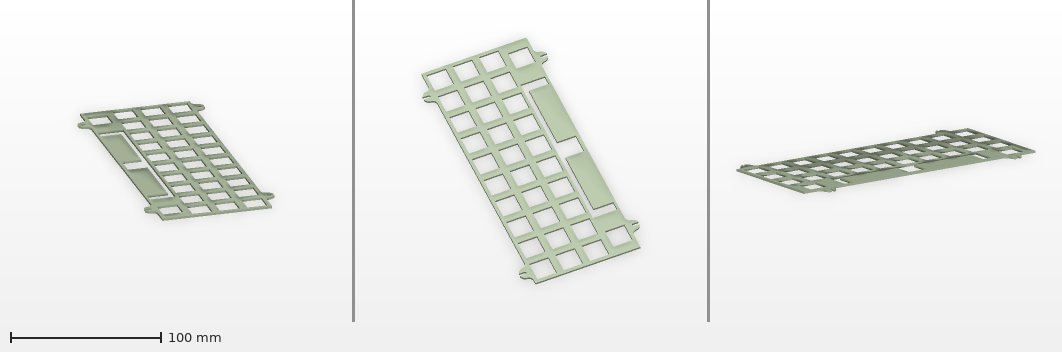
import cadquery as cq
import math

KEY_PITCH = 19.05
COLUMNS = 10
ROWS = 4
THICKNESS = 1.5
PLATE_LENGTH = COLUMNS * KEY_PITCH
PLATE_WIDTH = ROWS * KEY_PITCH

SWITCH_OPENING = 14.0
EDGE_KEY_UNITS = 1.5
BOTTOM_ROW_Y = (KEY_PITCH - PLATE_WIDTH) / 2

STABILIZER_OFFSET = 57.15
STABILIZER_SLOT_WIDTH = 6.75
SLOT_BELOW_SWITCH = 0.75
CHANNEL_BOTTOM = 6.6
CHANNEL_TOP = 10.0

EAR_REACH = 7.025
EAR_RADIUS = 4.25
EAR_FLARE_RADIUS = 3.4
EAR_SLOT_WIDTH = 2.0
EAR_SLOT_CENTRE = 3.0
EAR_POSITIONS = [
    (-84.6, 1),
    (75.9, 1),
    (-76.5, -1),
    (76.5, -1),
]


def box(x_min, x_max, y_min, y_max):
    """Block through the full plate thickness between the given limits."""
    block = cq.Workplane("XY").box(x_max - x_min, y_max - y_min, THICKNESS, centered=False)
    return block.translate((x_min, y_min, 0))


def switch_openings():
    """Three full rows of openings plus one at each end of the bottom row."""
    centres = []
    for row in range(1, ROWS):
        for column in range(COLUMNS):
            x = (column + 0.5) * KEY_PITCH - PLATE_LENGTH / 2
            centres.append((x, BOTTOM_ROW_Y + row * KEY_PITCH))
    edge_key_x = (PLATE_LENGTH - EDGE_KEY_UNITS * KEY_PITCH) / 2
    centres.append((-edge_key_x, BOTTOM_ROW_Y))
    centres.append((edge_key_x, BOTTOM_ROW_Y))
    openings = cq.Workplane("XY").pushPoints(centres)
    return openings.rect(SWITCH_OPENING, SWITCH_OPENING).extrude(THICKNESS)


def space_bar_cutout():
    """Wire channel with the middle switch opening and the two stabilizer slots below it."""
    half_switch = SWITCH_OPENING / 2
    half_slot = STABILIZER_SLOT_WIDTH / 2
    half_channel = STABILIZER_OFFSET + half_slot
    top = BOTTOM_ROW_Y + CHANNEL_TOP
    switch_bottom = BOTTOM_ROW_Y - half_switch
    slot_bottom = switch_bottom - SLOT_BELOW_SWITCH
    cutout = box(-half_channel, half_channel, BOTTOM_ROW_Y + CHANNEL_BOTTOM, top)
    cutout = cutout.union(box(-half_switch, half_switch, switch_bottom, top))
    for slot_x in (-STABILIZER_OFFSET, STABILIZER_OFFSET):
        cutout = cutout.union(box(slot_x - half_slot, slot_x + half_slot, slot_bottom, top))
    return cutout


def mounting_ear(x, side):
    """Round-headed ear with flared sides and an open slot, standing on a long plate edge."""
    slot_half = EAR_SLOT_WIDTH / 2
    head_y = EAR_REACH - math.sqrt(EAR_RADIUS**2 - slot_half**2)
    centre_gap = EAR_RADIUS + EAR_FLARE_RADIUS
    base_half = math.sqrt(centre_gap**2 - (head_y - EAR_FLARE_RADIUS)**2)
    joint_half = base_half * EAR_RADIUS / centre_gap
    joint_y = head_y + (EAR_FLARE_RADIUS - head_y) * EAR_RADIUS / centre_gap
    chord_x = (base_half + joint_half) / 2 - base_half
    chord_y = joint_y / 2 - EAR_FLARE_RADIUS
    stretch = EAR_FLARE_RADIUS / math.hypot(chord_x, chord_y)
    flare_x = base_half + chord_x * stretch
    flare_y = EAR_FLARE_RADIUS + chord_y * stretch
    ear = (
        cq.Workplane("XY")
        .moveTo(-base_half, 0)
        .threePointArc((-flare_x, flare_y), (-joint_half, joint_y))
        .threePointArc((0, head_y + EAR_RADIUS), (joint_half, joint_y))
        .threePointArc((flare_x, flare_y), (base_half, 0))
        .close()
        .extrude(THICKNESS)
    )
    slot_end = cq.Workplane("XY").center(0, EAR_SLOT_CENTRE).circle(slot_half).extrude(THICKNESS)
    slot = box(-slot_half, slot_half, EAR_SLOT_CENTRE, head_y + EAR_RADIUS)
    ear = ear.cut(slot).cut(slot_end)
    if side < 0:
        ear = ear.mirror("XZ")
    return ear.translate((x, side * PLATE_WIDTH / 2, 0))


result = cq.Workplane("XY").box(PLATE_LENGTH, PLATE_WIDTH, THICKNESS, centered=(True, True, False))
for ear_x, ear_side in EAR_POSITIONS:
    result = result.union(mounting_ear(ear_x, ear_side))
result = result.cut(switch_openings()).cut(space_bar_cutout())